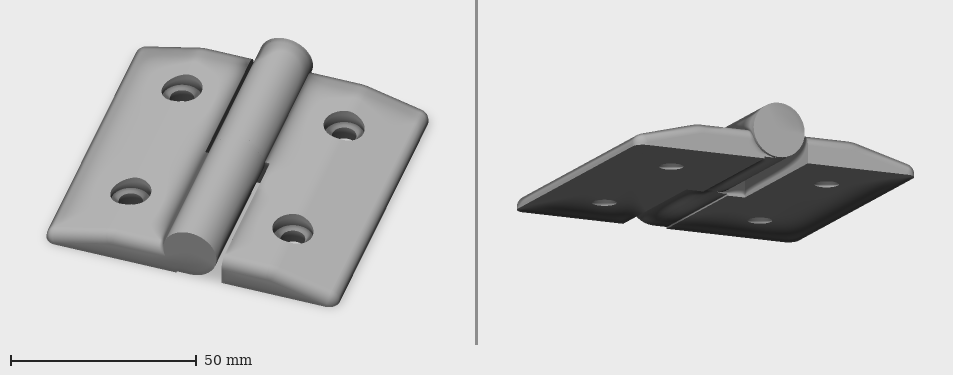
import cadquery as cq
import math

hinge_width = 83.0
leaf_length = 80.0
leaf_height = 8.05
half_width = hinge_width / 2
mid_y = leaf_length / 2

slope_angle = 15.0
bend_x = 23.0
bend_radius = 10.0
edge_radius = 3.0
slope_drop = (half_width - bend_x) * math.tan(math.radians(slope_angle))
outer_height = leaf_height - slope_drop

axis_height = leaf_height
knuckle_radius = 7.55
pin_radius = 4.0
relief_half_width = 3.9
relief_height = axis_height - knuckle_radius
leaf_clearance_x = 9.0

bearing_thickness = 1.1
shim_thickness = 0.25
knuckle_gap = bearing_thickness + shim_thickness
knuckle_length = (leaf_length - knuckle_gap) / 2
pin_length = leaf_length + bearing_thickness

hole_diameter = 6.6
counterbore_diameter = 11.0
counterbore_floor = 4.0
hole_spacing = 43.0


def cylinder_on_axis(radius, start_y, length):
    """Cylinder along Y on the hinge axis."""
    return (
        cq.Workplane("XZ", origin=(0, start_y, axis_height))
        .circle(radius)
        .extrude(-length)
    )


def ring(start_y, thickness):
    """Flat ring around the pin, flush with the knuckles."""
    disc = cylinder_on_axis(knuckle_radius, start_y, thickness)
    return disc.cut(cylinder_on_axis(pin_radius, start_y, thickness))


def leaf_plate():
    """Plate from the outer edge to the hinge axis, with rounded outer edges."""
    plate = (
        cq.Workplane("XZ")
        .moveTo(-half_width, 0)
        .lineTo(-half_width, outer_height)
        .lineTo(-bend_x, leaf_height)
        .lineTo(0, leaf_height)
        .lineTo(0, relief_height)
        .lineTo(-relief_half_width, relief_height)
        .lineTo(-relief_half_width, 0)
        .close()
        .extrude(-leaf_length)
    )
    bend_point = (-bend_x, mid_y, leaf_height)
    plate = plate.edges(cq.selectors.NearestToPointSelector(bend_point)).fillet(bend_radius)

    corner_edges = plate.edges("|Z and <X")
    outer_edge = plate.edges(cq.selectors.NearestToPointSelector((-half_width, mid_y, outer_height)))
    upper_half = cq.selectors.BoxSelector(
        (-hinge_width, -leaf_length, leaf_height / 2),
        (hinge_width, 2 * leaf_length, 2 * leaf_height),
    )
    end_edges = plate.faces("<Y or >Y").edges("not |Z").edges(upper_half)
    return corner_edges.add(outer_edge).add(end_edges).fillet(edge_radius)


def mounting_holes():
    """Cutting bodies of the two counterbored holes, centred on the bend."""
    centres = [(-bend_x, mid_y + side * hole_spacing / 2) for side in (-1, 1)]
    through = cq.Workplane("XY").pushPoints(centres).circle(hole_diameter / 2).extrude(leaf_height)
    counterbores = (
        cq.Workplane("XY", origin=(0, 0, counterbore_floor))
        .pushPoints(centres)
        .circle(counterbore_diameter / 2)
        .extrude(leaf_height - counterbore_floor)
    )
    return through.union(counterbores)


def make_leaf():
    """Leaf on the -X side, whose knuckle starts at Y = 0."""
    clearance = cq.Workplane("XY").box(
        leaf_clearance_x, leaf_length - knuckle_length, leaf_height, centered=False
    ).translate((-leaf_clearance_x, knuckle_length, 0))
    return (
        leaf_plate()
        .cut(clearance)
        .cut(mounting_holes())
        .union(cylinder_on_axis(knuckle_radius, 0, knuckle_length))
        .cut(cylinder_on_axis(pin_radius, 0, knuckle_length))
    )


leaves = [
    make_leaf().rotate((0, mid_y, 0), (0, mid_y, 1), angle)
    for angle in (0, 180)
]

pin = cylinder_on_axis(pin_radius, 0, pin_length)

shim = ring(knuckle_length, shim_thickness)

bearing_starts = (knuckle_length + shim_thickness, leaf_length)
bearings = [ring(start_y, bearing_thickness) for start_y in bearing_starts]

bodies = [*leaves, pin, shim, *bearings]
result = cq.Compound.makeCompound([body.val() for body in bodies])